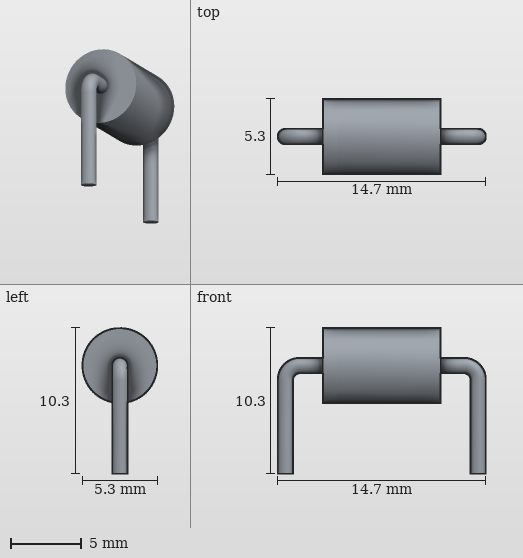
import cadquery as cq

body_diameter = 5.3
body_length = 8.3
band_length = 1.0
lead_diameter = 1.1
lead_pitch = 13.6
bend_radius = 1.0
lead_below_body = 5.0

body_radius = body_diameter / 2
lead_radius = lead_diameter / 2
half_pitch = lead_pitch / 2
half_body = body_length / 2
axis_height = body_radius


def cylinder_along_x(start_x, length):
    """Body section centred on the part axis."""
    plane = cq.Plane(origin=(start_x, 0, axis_height), xDir=(0, 1, 0), normal=(1, 0, 0))
    return cq.Workplane(plane).circle(body_radius).extrude(length)


def make_body():
    """Marking band at the -X end followed by the main body."""
    band = cylinder_along_x(-half_body, band_length)
    main = cylinder_along_x(-half_body + band_length, body_length - band_length)
    return band.union(main, clean=False)


def make_lead_pair():
    """One round wire along the part axis, bent down 90 degrees at both ends."""
    bend_start_x = half_pitch - bend_radius
    bend_end_z = axis_height - bend_radius
    path = (
        cq.Workplane("XZ")
        .moveTo(-half_pitch, -lead_below_body)
        .lineTo(-half_pitch, bend_end_z)
        .tangentArcPoint((-bend_start_x, axis_height), relative=False)
        .lineTo(bend_start_x, axis_height)
        .tangentArcPoint((half_pitch, bend_end_z), relative=False)
        .lineTo(half_pitch, -lead_below_body)
    )
    return (
        cq.Workplane("XY", origin=(-half_pitch, 0, -lead_below_body))
        .circle(lead_radius)
        .sweep(path)
    )


result = make_body().union(make_lead_pair(), clean=False)